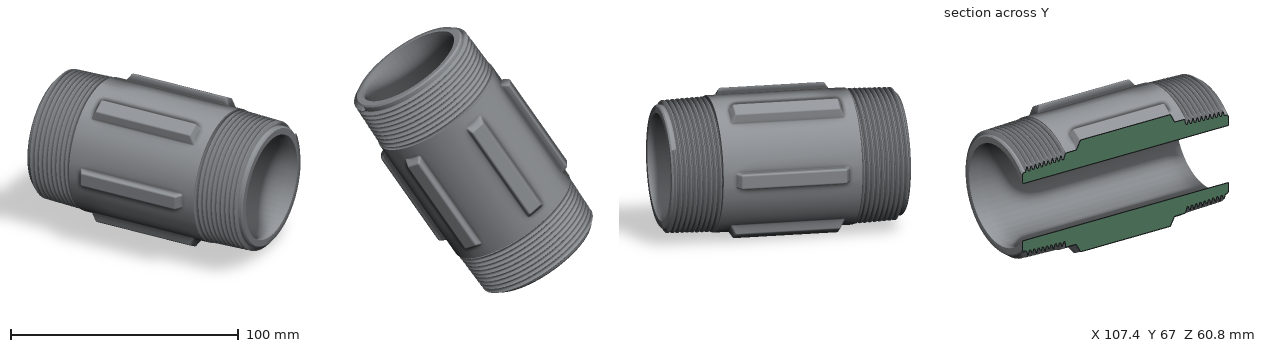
import cadquery as cq
import math


length = 107.4
bore_diameter = 47.7
barrel_diameter = 60.5
barrel_radius = barrel_diameter / 2

thread_zone = 22.6
end_radius = 27.4
end_chamfer = 0.6
taper_slope = 1 / 32
shoulder_root_radius = end_radius + thread_zone * taper_slope

thread_start = 1.5
thread_turns = 10
ridge_run = 22.1
ridge_start_angle = 60.0
pitch = ridge_run / thread_turns
ridge_height = 1.8
crest_width = 0.2
root_gap = 0.4
ridge_embed = 0.2

rib_tip_radius = 67.0 / 2
rib_width = 6.8
rib_tip_length = 47.1
rib_end_slope = 30.0
rib_flare = 30.0
rib_base_radius = 27.9
rib_edge_fillet = 0.9
rib_foot_fillet = 0.5
foot_tolerance = 0.1


def make_rib(flare_side):
    """Rib on the +Z side; the flank on flare_side (+1 or -1 along Y, 0 for none) is flared."""
    depth = rib_tip_radius - rib_base_radius
    half_width = rib_width / 2
    flare = depth * math.tan(math.radians(rib_flare))
    left_base = -half_width - (flare if flare_side < 0 else 0)
    right_base = half_width + (flare if flare_side > 0 else 0)
    section = [
        (left_base, rib_base_radius),
        (right_base, rib_base_radius),
        (half_width, rib_tip_radius),
        (-half_width, rib_tip_radius),
    ]
    bar = cq.Workplane("YZ").polyline(section).close().extrude(rib_tip_length, both=True)

    half_tip = rib_tip_length / 2
    half_base = half_tip + depth * math.tan(math.radians(rib_end_slope))
    side_outline = [
        (-half_base, rib_base_radius),
        (half_base, rib_base_radius),
        (half_tip, rib_tip_radius),
        (-half_tip, rib_tip_radius),
    ]
    envelope = cq.Workplane("XZ").polyline(side_outline).close().extrude(rib_tip_radius, both=True)
    return bar.intersect(envelope).edges("not <Z").fillet(rib_edge_fillet)


def make_body():
    """Turned body: bored barrel with a tapered, chamfered root cone at each end."""
    bore_radius = bore_diameter / 2
    half_length = length / 2
    half_barrel = half_length - thread_zone
    chamfer_station = half_length - end_chamfer
    chamfer_radius = end_radius + end_chamfer * taper_slope
    tip_radius = end_radius - end_chamfer
    half_outline = [
        (half_barrel, barrel_radius),
        (half_barrel, shoulder_root_radius),
        (chamfer_station, chamfer_radius),
        (half_length, tip_radius),
        (half_length, bore_radius),
    ]
    mirrored_outline = [(-x, radius) for x, radius in reversed(half_outline)]
    outline = cq.Workplane("XY").polyline(half_outline + mirrored_outline).close()
    return outline.revolve(360, (0, 0), (1, 0))


def add_ribs(body):
    """Add six ribs, 60 degrees apart, and blend their feet into the barrel."""
    for turn, flare_side in ((90, 0), (-90, 0), (-30, 1), (30, -1), (150, 1), (-150, -1)):
        body = body.union(make_rib(flare_side).rotate((0, 0, 0), (1, 0, 0), turn))

    shoulder = length / 2 - thread_zone
    feet = []
    for edge in body.edges().vals():
        centre = edge.Center()
        box = edge.BoundingBox()
        on_barrel = abs(math.hypot(centre.y, centre.z) - barrel_radius) < foot_tolerance
        if on_barrel and max(box.xmax, -box.xmin) < shoulder - foot_tolerance:
            feet.append(edge)
    return body.newObject(feet).fillet(rib_foot_fillet)


def make_ridge():
    """Helical ridge of the right-hand taper thread on the -X end."""
    start_radius = end_radius + thread_start * taper_slope
    taper_angle = math.degrees(math.atan(taper_slope))
    half_crest = crest_width / 2
    half_root = (pitch - root_gap) / 2
    half_base = half_root + ridge_embed * (half_root - half_crest) / ridge_height
    base_radius = start_radius - ridge_embed
    crest_radius = start_radius + ridge_height
    corners = [
        (base_radius, -half_base),
        (crest_radius, -half_crest),
        (crest_radius, half_crest),
        (base_radius, half_base),
    ]
    helices = [
        cq.Wire.makeHelix(pitch, ridge_run, radius, cq.Vector(0, 0, offset), angle=taper_angle)
        for radius, offset in corners
    ]
    faces = [
        cq.Face.makeRuledSurface(helices[index - 1], helices[index])
        for index in range(len(helices))
    ]
    for wire_end in (cq.Wire.startPoint, cq.Wire.endPoint):
        cap = cq.Wire.makePolygon([wire_end(helix) for helix in helices], close=True)
        faces.append(cq.Face.makeFromWires(cap))
    ridge = cq.Solid.makeSolid(cq.Shell.makeShell(faces))
    ridge = cq.Workplane(ridge).rotate((0, 0, 0), (0, 1, 0), 90)
    ridge = ridge.rotate((0, 0, 0), (1, 0, 0), ridge_start_angle)
    return ridge.translate((thread_start - length / 2, 0, 0))


def add_threads(body):
    """Add a ridge at each end; half a turn about Y keeps its hand."""
    ridge = make_ridge()
    opposite_ridge = ridge.rotate((0, 0, 0), (0, 1, 0), 180)
    return body.union(ridge).union(opposite_ridge)


nipple = add_ribs(add_threads(make_body()))
result = cq.Workplane(nipple.solids().val())